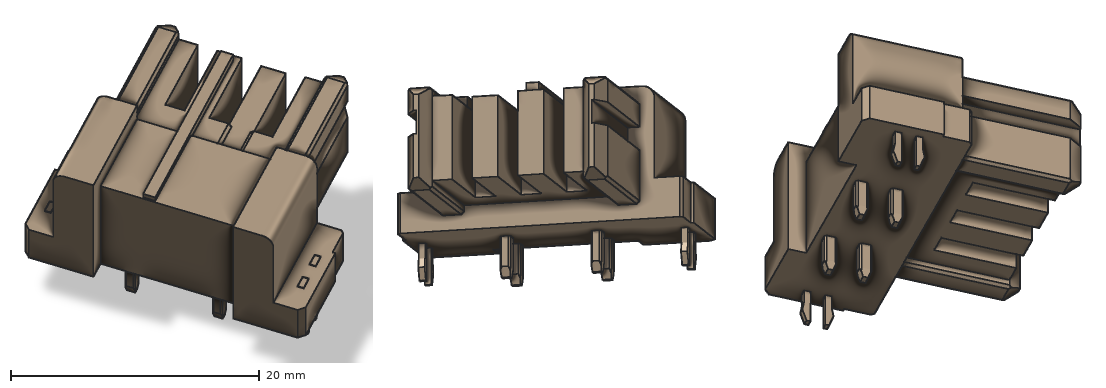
import cadquery as cq


OVERALL_WIDTH = 24.37
HOUSING_DEPTH = 9.38
SHOULDER_OUTER_X = 9.58
SHOULDER_INNER_X = 6.07
SHOULDER_HEIGHT = 10.97
SHOULDER_RADIUS = 1.0
BLOCK_HEIGHT = 9.3
BLOCK_RECESS = 1.54
FLANGE_HEIGHT = 3.35
FLANGE_FRONT_CHAMFER = 0.5
FLANGE_REAR_CHAMFER = 0.25
FLANGE_STEP_Y = 6.87
FLANGE_STEP_INSET = 0.25

PLUG_END_Y = 19.0
PLUG_MID_Z = 5.48
PLUG_HEIGHT = 6.97
SLOT_FLOOR_Y = 12.0
SLOT_WIDTH = 1.68
SLOT_PITCH = 3.83
SLOT_COUNT = 3

KEYWAY_X = 1.93
KEYWAY_DEPTH = 0.25
KEYWAY_MOUTH_WIDTH = 2.2
KEYWAY_FLOOR_WIDTH = 1.63

POST_X = 7.34
POST_WIDTH = 2.02
POST_HEIGHT = 8.45
POST_EDGE_CHAMFER = 0.25
POST_TIP_Y = 20.2
POST_TIP_WIDTH = 0.46
POST_TIP_HEIGHT = 6.87
GUIDE_GROOVE_BOTTOM_Z = 5.68
GUIDE_GROOVE_TOP_Z = 7.6

RIB_X = -1.9
RIB_WIDTH = 1.05
RIB_START_Y = 1.68
RIB_END_Y = 18.47
RIB_TOP_Z = 9.72

PIN_X = 3.8
PIN_ROWS_Y = (2.7, 5.7)
PIN_LENGTH = 3.35
PIN_STRAIGHT_LENGTH = 2.5
PIN_WIDTH = 0.88
PIN_DEPTH = 1.05
PIN_EDGE_CHAMFER = 0.15
PIN_TIP_WIDTH = 0.73
PIN_TIP_DEPTH = 0.46

LEG_X = 11.0
LEG_THICKNESS = 0.54
LEG_PAIR_Y = 4.2
LEG_INNER = 0.63
LEG_OUTER = 1.2
LEG_BARB = 1.35
LEG_TIP_OUTER = 0.97
LEG_BARB_START = 1.25
LEG_BARB_PEAK = 2.0
LEG_LENGTH = 3.02
LEG_HEAD_INNER = 0.73
LEG_HEAD_OUTER = 1.85
LEG_HEAD_PROUD = 0.07

SIDES = (-1, 1)


def box(x_range, y_range, z_range):
    """Box between the given limits on each axis."""
    (x0, x1), (y0, y1), (z0, z1) = x_range, y_range, z_range
    return cq.Workplane("XY").box(x1 - x0, y1 - y0, z1 - z0, centered=False).translate((x0, y0, z0))


def tapered_profile(plane, width, tip_width, start, shoulder, tip):
    """Closed outline of a symmetric bar that narrows from shoulder to tip."""
    half = width / 2
    tip_half = tip_width / 2
    return cq.Workplane(plane).polyline([
        (-half, start), (-half, shoulder), (-tip_half, tip),
        (tip_half, tip), (half, shoulder), (half, start),
    ]).close()


def make_flange():
    half = OVERALL_WIDTH / 2
    rear_half = half - FLANGE_STEP_INSET
    rear_corner_y = HOUSING_DEPTH - FLANGE_REAR_CHAMFER
    outline = [
        (half - FLANGE_FRONT_CHAMFER, 0),
        (half, FLANGE_FRONT_CHAMFER),
        (half, FLANGE_STEP_Y),
        (rear_half, FLANGE_STEP_Y),
        (rear_half, rear_corner_y),
        (rear_half - FLANGE_REAR_CHAMFER, HOUSING_DEPTH),
    ]
    mirrored = [(-x, y) for x, y in reversed(outline)]
    return cq.Workplane("XY").polyline(outline + mirrored).close().extrude(FLANGE_HEIGHT)


def make_housing():
    shoulders = (
        box((-SHOULDER_OUTER_X, SHOULDER_OUTER_X), (0, HOUSING_DEPTH), (0, SHOULDER_HEIGHT))
        .edges("|Y and >Z").fillet(SHOULDER_RADIUS)
    )
    inner_span = (-SHOULDER_INNER_X, SHOULDER_INNER_X)
    top_gap = box(inner_span, (0, HOUSING_DEPTH), (BLOCK_HEIGHT, SHOULDER_HEIGHT))
    front_recess = box(inner_span, (0, BLOCK_RECESS), (0, SHOULDER_HEIGHT))
    return shoulders.union(make_flange()).cut(top_gap).cut(front_recess)


def make_plug():
    top_z = PLUG_MID_Z + PLUG_HEIGHT / 2
    bottom_z = PLUG_MID_Z - PLUG_HEIGHT / 2
    plug = box((-POST_X, POST_X), (HOUSING_DEPTH, PLUG_END_Y), (bottom_z, top_z))

    for index in range(SLOT_COUNT):
        slot_x = (index - (SLOT_COUNT - 1) / 2) * SLOT_PITCH
        slot_span = (slot_x - SLOT_WIDTH / 2, slot_x + SLOT_WIDTH / 2)
        plug = plug.cut(box(slot_span, (SLOT_FLOOR_Y, PLUG_END_Y), (bottom_z, top_z)))

    floor_z = top_z - KEYWAY_DEPTH
    mouth_half = KEYWAY_MOUTH_WIDTH / 2
    floor_half = KEYWAY_FLOOR_WIDTH / 2
    keyway = (
        cq.Workplane("XZ", origin=(KEYWAY_X, HOUSING_DEPTH, 0))
        .polyline([(-mouth_half, top_z), (-floor_half, floor_z), (floor_half, floor_z), (mouth_half, top_z)])
        .close().extrude(HOUSING_DEPTH - SLOT_FLOOR_Y)
    )
    finger_relief = box(
        (KEYWAY_X - mouth_half, KEYWAY_X + mouth_half), (SLOT_FLOOR_Y, PLUG_END_Y), (floor_z, top_z)
    )
    return plug.cut(keyway).cut(finger_relief)


def make_post(side):
    """Guide post with chamfered long edges, a pyramid tip and a groove on its outer side."""
    x = side * POST_X
    bar = (
        box(
            (x - POST_WIDTH / 2, x + POST_WIDTH / 2),
            (HOUSING_DEPTH, POST_TIP_Y),
            (PLUG_MID_Z - POST_HEIGHT / 2, PLUG_MID_Z + POST_HEIGHT / 2),
        )
        .edges("|Y").chamfer(POST_EDGE_CHAMFER)
    )
    along = (HOUSING_DEPTH, PLUG_END_Y, POST_TIP_Y)
    width_taper = (
        tapered_profile("XY", POST_WIDTH, POST_TIP_WIDTH, *along)
        .extrude(POST_HEIGHT / 2, both=True).translate((x, 0, PLUG_MID_Z))
    )
    height_taper = (
        tapered_profile("ZY", POST_HEIGHT, POST_TIP_HEIGHT, *along)
        .extrude(POST_WIDTH / 2, both=True).translate((x, 0, PLUG_MID_Z))
    )
    outer_x = x + side * POST_WIDTH / 2
    groove = box(
        (min(x, outer_x), max(x, outer_x)),
        (HOUSING_DEPTH, POST_TIP_Y),
        (GUIDE_GROOVE_BOTTOM_Z, GUIDE_GROOVE_TOP_Z),
    )
    return bar.intersect(width_taper).intersect(height_taper).cut(groove)


def make_rib():
    root_z = PLUG_MID_Z
    return box(
        (RIB_X - RIB_WIDTH / 2, RIB_X + RIB_WIDTH / 2), (RIB_START_Y, RIB_END_Y), (root_z, RIB_TOP_Z)
    )


def make_pin(x, y):
    """Solder pin with chamfered corners and a tip that narrows both ways."""
    bar = (
        cq.Workplane("XY").rect(PIN_WIDTH, PIN_DEPTH).extrude(-PIN_LENGTH)
        .edges("|Z").chamfer(PIN_EDGE_CHAMFER)
    )
    along = (0, -PIN_STRAIGHT_LENGTH, -PIN_LENGTH)
    width_taper = tapered_profile("XZ", PIN_WIDTH, PIN_TIP_WIDTH, *along).extrude(PIN_DEPTH / 2, both=True)
    depth_taper = tapered_profile("YZ", PIN_DEPTH, PIN_TIP_DEPTH, *along).extrude(PIN_WIDTH / 2, both=True)
    return bar.intersect(width_taper).intersect(depth_taper).translate((x, y, 0))


def make_leg(x, side):
    """Board-lock leg with an outward barb, and its head just proud of the flange."""
    outline = [
        (LEG_INNER, 0), (LEG_OUTER, 0), (LEG_OUTER, -LEG_BARB_START), (LEG_BARB, -LEG_BARB_PEAK),
        (LEG_TIP_OUTER, -LEG_LENGTH), (LEG_INNER, -LEG_LENGTH),
    ]
    leg = (
        cq.Workplane("YZ", origin=(x, LEG_PAIR_Y, 0))
        .polyline([(side * offset, z) for offset, z in outline]).close()
        .extrude(LEG_THICKNESS / 2, both=True)
    )
    head_middle_y = LEG_PAIR_Y + side * (LEG_HEAD_INNER + LEG_HEAD_OUTER) / 2
    head = (
        cq.Workplane("XY", origin=(x, head_middle_y, FLANGE_HEIGHT))
        .rect(LEG_THICKNESS, LEG_HEAD_OUTER - LEG_HEAD_INNER).extrude(LEG_HEAD_PROUD)
    )
    return leg.union(head)


result = make_housing().union(make_plug()).union(make_rib())
for x_side in SIDES:
    result = result.union(make_post(x_side))
    for row_y in PIN_ROWS_Y:
        result = result.union(make_pin(x_side * PIN_X, row_y))
    for y_side in SIDES:
        result = result.union(make_leg(x_side * LEG_X, y_side))